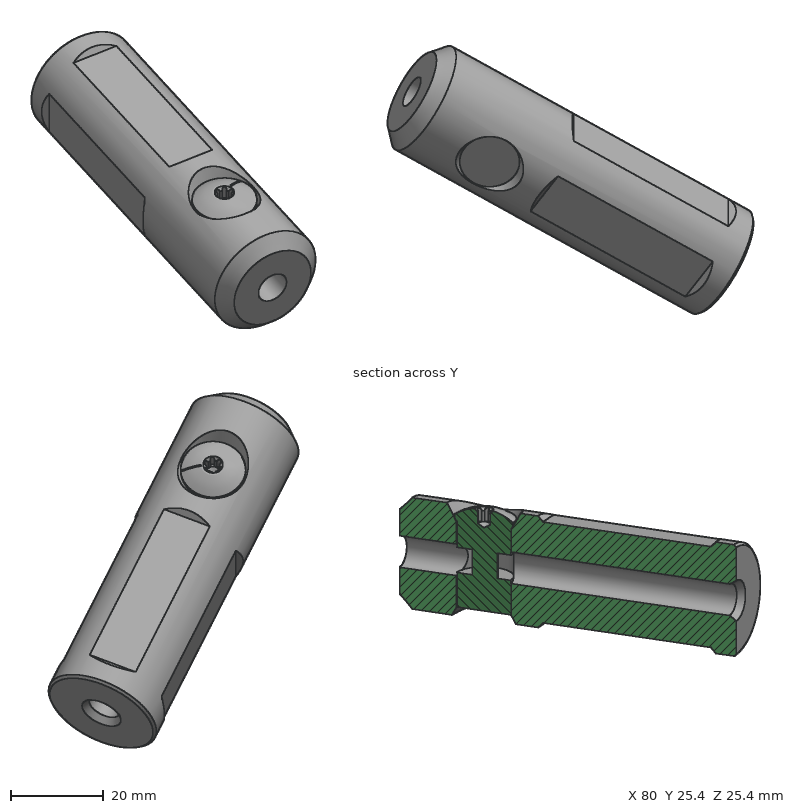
import cadquery as cq
import math

LENGTH = 80.0
BAR_RADIUS = 25.4 / 2
NEAR_CHAMFER = 0.6
FAR_CHAMFER = 3.0
CUT_MARGIN = 0.8
CUT_HEIGHT = BAR_RADIUS + CUT_MARGIN

FLAT_COUNT = 4
FLAT_START = 6.1
FLAT_END = 45.9
FLAT_DEPTH = 1.2
FLAT_HEIGHT = BAR_RADIUS - FLAT_DEPTH

BORE_RADIUS = 7.0 / 2
BORE_MOUTH_RADIUS = 9.1 / 2
BORE_MOUTH_DEPTH = 1.6

CAM_X = 60.0
CAM_RADIUS = 12.9 / 2
SEAT_HALF_ANGLE = 30.0
SEAT_SLOPE = math.tan(math.radians(SEAT_HALF_ANGLE))
SEAT_BOTTOM = 8.7
RELIEF_TOP = -10.7

HEAD_RADIUS = 14.0 / 2
HEAD_TOP = 12.2
HEAD_FLAT_RADIUS = 5.3 / 2
DOME_RADIUS = 12.0
HEAD_RIM = SEAT_BOTTOM + (HEAD_RADIUS - CAM_RADIUS) / SEAT_SLOPE

HUB_RADIUS = 3.0
HUB_HALF_HEIGHT = 2.8
HUB_OFFSET = 0.5
MARK_ANGLE = 117.5
MARK_RADIUS = 0.2

LOBE_COUNT = 6
LOBE_RADIUS = 1.0 / 2
LOBE_START_ANGLE = 30.0
SOCKET_CORE_RADIUS = 2.9 / 2
SOCKET_TIP_RADIUS = 2.0
SOCKET_MOUTH_RADIUS = 4.2 / 2
SOCKET_DEPTH = 3.2
SOCKET_FLOOR_ANGLE = 30.0
SOCKET_FLOOR_SLOPE = math.tan(math.radians(SOCKET_FLOOR_ANGLE))


def revolve_z(points):
    """Solid of revolution about Z from (radius, height) points."""
    return cq.Workplane("XZ").polyline(points).close().revolve(360, (0, 0), (0, 1))


def revolve_x(points):
    """Solid of revolution about X from (length, radius) points."""
    return cq.Workplane("XY").polyline(points).close().revolve(360, (0, 0), (1, 0))


def make_bar():
    profile = [
        (0, 0),
        (0, BAR_RADIUS - NEAR_CHAMFER),
        (NEAR_CHAMFER, BAR_RADIUS),
        (LENGTH - FAR_CHAMFER, BAR_RADIUS),
        (LENGTH, BAR_RADIUS - FAR_CHAMFER),
        (LENGTH, 0),
    ]
    return revolve_x(profile)


def make_flat_cutter():
    rise = CUT_HEIGHT - FLAT_HEIGHT
    profile = [
        (FLAT_START, FLAT_HEIGHT),
        (FLAT_END, FLAT_HEIGHT),
        (FLAT_END + rise, CUT_HEIGHT),
        (FLAT_START - rise, CUT_HEIGHT),
    ]
    return cq.Workplane("XZ").polyline(profile).close().extrude(BAR_RADIUS, both=True)


def make_bore_cutter():
    profile = [
        (0, 0),
        (0, BORE_MOUTH_RADIUS),
        (BORE_MOUTH_DEPTH, BORE_RADIUS),
        (LENGTH, BORE_RADIUS),
        (LENGTH, 0),
    ]
    return revolve_x(profile)


def make_cross_hole_cutter():
    seat_mouth_radius = CAM_RADIUS + (CUT_HEIGHT - SEAT_BOTTOM) * SEAT_SLOPE
    relief_mouth_radius = CAM_RADIUS + (CUT_HEIGHT + RELIEF_TOP) * SEAT_SLOPE
    profile = [
        (0, -CUT_HEIGHT),
        (relief_mouth_radius, -CUT_HEIGHT),
        (CAM_RADIUS, RELIEF_TOP),
        (CAM_RADIUS, SEAT_BOTTOM),
        (seat_mouth_radius, CUT_HEIGHT),
        (0, CUT_HEIGHT),
    ]
    return revolve_z(profile).translate((CAM_X, 0, 0))


def make_housing():
    housing = make_bar()
    for side in range(FLAT_COUNT):
        turn = 360 / FLAT_COUNT * side
        housing = housing.cut(make_flat_cutter().rotate((0, 0, 0), (1, 0, 0), turn))
    return housing.cut(make_bore_cutter()).cut(make_cross_hole_cutter())


def dome_center_height():
    return HEAD_TOP - math.sqrt(DOME_RADIUS**2 - HEAD_FLAT_RADIUS**2)


def dome_height(radius):
    """Height of the dome surface at a distance from the cam axis."""
    return dome_center_height() + math.sqrt(DOME_RADIUS**2 - radius**2)


def make_cam_blank():
    arc_middle_radius = (HEAD_FLAT_RADIUS + HEAD_RADIUS) / 2
    outline = (
        cq.Workplane("XZ")
        .moveTo(0, RELIEF_TOP)
        .lineTo(CAM_RADIUS, RELIEF_TOP)
        .lineTo(CAM_RADIUS, SEAT_BOTTOM)
        .lineTo(HEAD_RADIUS, HEAD_RIM)
        .lineTo(HEAD_RADIUS, dome_height(HEAD_RADIUS))
        .threePointArc((arc_middle_radius, dome_height(arc_middle_radius)), (HEAD_FLAT_RADIUS, HEAD_TOP))
        .lineTo(0, HEAD_TOP)
        .close()
    )
    return outline.revolve(360, (0, 0), (0, 1))


def make_waist_cutter():
    """Ring that leaves only the eccentric hub between the two round ends of the cam."""
    waist = cq.Workplane("XY").workplane(offset=-HUB_HALF_HEIGHT)
    ring = waist.circle(CAM_RADIUS + CUT_MARGIN).extrude(2 * HUB_HALF_HEIGHT)
    hub = waist.center(HUB_OFFSET, 0).circle(HUB_RADIUS).extrude(2 * HUB_HALF_HEIGHT)
    return ring.cut(hub)


def make_mark_cutter():
    """Round groove that follows the dome from the edge of its flat top past the head rim."""
    start_angle = math.degrees(math.asin(HEAD_FLAT_RADIUS / DOME_RADIUS))
    end_angle = math.degrees(math.asin((HEAD_RADIUS + MARK_RADIUS) / DOME_RADIUS))
    groove = (
        cq.Workplane("YZ")
        .center(0, DOME_RADIUS)
        .circle(MARK_RADIUS)
        .revolve(end_angle - start_angle, (0, -DOME_RADIUS), (1, -DOME_RADIUS))
    )
    tilted = groove.rotate((0, 0, 0), (0, 1, 0), start_angle)
    return tilted.translate((0, 0, dome_center_height()))


def make_socket_cutter():
    floor = HEAD_TOP - SOCKET_DEPTH
    mouth_depth = SOCKET_MOUTH_RADIUS - SOCKET_CORE_RADIUS
    core = [
        (0, floor - SOCKET_CORE_RADIUS * SOCKET_FLOOR_SLOPE),
        (SOCKET_CORE_RADIUS, floor),
        (SOCKET_CORE_RADIUS, HEAD_TOP - mouth_depth),
        (SOCKET_MOUTH_RADIUS, HEAD_TOP),
        (0, HEAD_TOP),
    ]
    lobes = (
        cq.Workplane("XY")
        .workplane(offset=floor)
        .polarArray(SOCKET_TIP_RADIUS - LOBE_RADIUS, LOBE_START_ANGLE, 360, LOBE_COUNT)
        .circle(LOBE_RADIUS)
        .extrude(SOCKET_DEPTH)
    )
    return revolve_z(core).union(lobes)


def make_cam():
    cam = make_cam_blank().cut(make_waist_cutter()).cut(make_mark_cutter())
    cam = cam.rotate((0, 0, 0), (0, 0, 1), MARK_ANGLE)
    return cam.cut(make_socket_cutter()).translate((CAM_X, 0, 0))


housing = make_housing()
cam = make_cam()

result = cq.Compound.makeCompound([housing.val(), cam.val()])